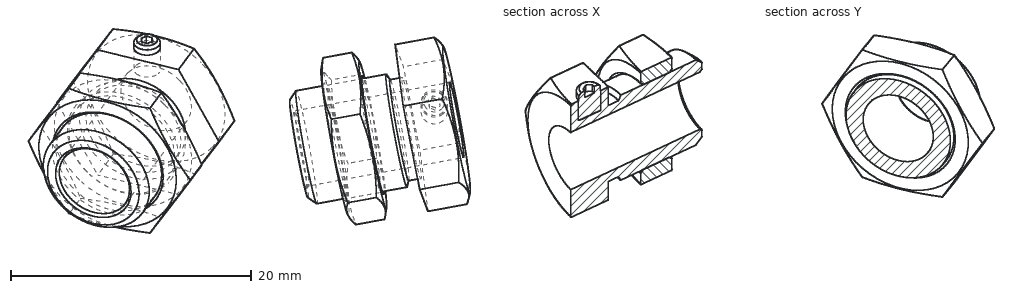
import cadquery as cq
import math

hex_corners = 14.66
hex_flats = hex_corners * math.cos(math.radians(30))

length = 13.37
head_thickness = 3.83
head_face_diameter = 12.43
head_chamfer_length = 0.51
thread_diameter = 9.59
neck_diameter = 8.58
neck_length = 1.03
neck_cone_length = 0.23
end_chamfer = 0.65
bore_diameter = 6.36
bore_chamfer = 0.23

nut_thickness = 3.23
nut_front = 3.05
nut_face_diameter = 12.43
nut_chamfer_length = 0.4
nut_countersink = 0.23

screw_diameter = 2.2
screw_protrusion = 0.79
screw_depth = 2.2
screw_chamfer_width = 0.23
screw_chamfer_height = 0.26
socket_corners = 1.04
socket_depth = 0.73

head_front = length - head_thickness
neck_front = head_front - neck_length
thread_back = neck_front - neck_cone_length
nut_back = nut_front + nut_thickness
screw_y = length - head_thickness / 2
flat_z = hex_flats / 2


def revolve_about_y(points):
    """Turn an outline of (radius, y) points about the Y axis."""
    return cq.Workplane("XY").polyline(points).close().revolve(360, (0, 0, 0), (0, 1, 0))


def hexagon(front, back):
    """Hexagonal prism from y = front to y = back, with corners on the X axis."""
    return (
        cq.Workplane("XZ", origin=(0, back, 0))
        .polygon(6, hex_corners)
        .extrude(back - front)
    )


def corner_cone(face, inner, face_diameter):
    """Envelope that chamfers hexagon corners between the y positions inner and face."""
    corner_radius = hex_corners / 2
    far = face + math.copysign(hex_corners, inner - face)
    face_radius = face_diameter / 2
    clear_radius = 2 * corner_radius - face_radius
    clear_y = 2 * inner - face
    return revolve_about_y([
        (0, face), (face_radius, face), (clear_radius, clear_y), (clear_radius, far), (0, far),
    ])


def make_screw_blank():
    """Screw without its socket, which is also the shape of its hole below the flat."""
    return (
        cq.Workplane("XY", origin=(0, screw_y, flat_z - screw_depth))
        .circle(screw_diameter / 2)
        .extrude(screw_depth + screw_protrusion)
    )


def make_fitting():
    head = hexagon(head_front, length)
    head = head.intersect(
        corner_cone(length, length - head_chamfer_length, head_face_diameter)
    )
    thread_radius = thread_diameter / 2
    neck_radius = neck_diameter / 2
    shank = revolve_about_y([
        (0, 0),
        (thread_radius - end_chamfer, 0),
        (thread_radius, end_chamfer),
        (thread_radius, thread_back),
        (neck_radius, neck_front),
        (neck_radius, head_front),
        (0, head_front),
    ])
    bore_radius = bore_diameter / 2
    bore = revolve_about_y([
        (0, 0),
        (bore_radius + bore_chamfer, 0),
        (bore_radius, bore_chamfer),
        (bore_radius, length),
        (0, length),
    ])
    return head.union(shank).cut(bore).cut(make_screw_blank())


def make_nut():
    nut = hexagon(nut_front, nut_back)
    nut = nut.intersect(corner_cone(nut_front, nut_front + nut_chamfer_length, nut_face_diameter))
    nut = nut.intersect(corner_cone(nut_back, nut_back - nut_chamfer_length, nut_face_diameter))
    hole_radius = thread_diameter / 2
    hole = revolve_about_y([
        (0, nut_front),
        (hole_radius + nut_countersink, nut_front),
        (hole_radius, nut_front + nut_countersink),
        (hole_radius, nut_back - nut_countersink),
        (hole_radius + nut_countersink, nut_back),
        (0, nut_back),
    ])
    return nut.cut(hole)


def make_screw():
    screw = (
        make_screw_blank()
        .faces(">Z").edges()
        .chamfer(screw_chamfer_height, screw_chamfer_width)
    )
    socket = (
        cq.Workplane("XY", origin=(0, screw_y, flat_z + screw_protrusion))
        .polygon(6, socket_corners)
        .extrude(-socket_depth)
    )
    return screw.cut(socket)


fitting = make_fitting()
nut = make_nut()
screw = make_screw()

result = cq.Compound.makeCompound([fitting.val(), nut.val(), screw.val()])